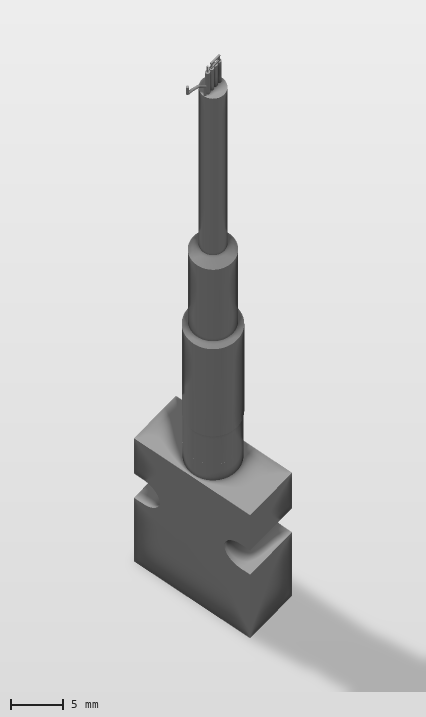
import cadquery as cq

block_width = 14.22
block_depth = 6.35
block_height = 20.32
notch_radius = 2.0
notch_depth = 3.15
notch_height = 12.5
boss_diameter = 5.8
boss_top = 23.0

neck_diameter = 5.8
neck_top = 27.7
body_diameter = 5.95
body_top = 42.1
body_cone_top = 42.6
middle_diameter = 4.8
middle_top = 54.4
tube_diameter = 2.75
tube_top = 81.2
tube_cone_top = 55.35

tip_height = 85.5
rod_diameter = 0.5
rod_pitch = 0.57
rod_top = 84.6
first_rod_y = 0.9
frame_rod_count = 3
core_diameter = 0.18

hook_wire_diameter = 0.3
overall_depth = 7.18
hook_foot_y = -1.2
hook_tip_y = block_depth / 2 - overall_depth + hook_wire_diameter / 2
hook_foot_top = 82.6
hook_knee = (-2.2, 83.75)
hook_bend = (-3.2, 84.2)
hook_tip_bottom = 84.35


def cylinder(diameter, bottom, top, y=0):
    """Upright cylinder at X = 0."""
    base = cq.Workplane("XY", origin=(0, y, bottom))
    return base.circle(diameter / 2).extrude(top - bottom)


def make_handle():
    handle = cq.Workplane("XY").box(block_width, block_depth, block_height, centered=(True, True, False))
    slot_length = 2 * notch_depth
    for side in (-1, 1):
        notch = (
            cq.Workplane("XZ", origin=(side * block_width / 2, 0, notch_height))
            .slot2D(slot_length, 2 * notch_radius)
            .extrude(block_depth, both=True)
        )
        handle = handle.cut(notch)
    return handle.union(cylinder(boss_diameter, block_height, boss_top))


def make_barrel():
    profile = (
        cq.Workplane("XZ")
        .moveTo(0, boss_top)
        .lineTo(-neck_diameter / 2, boss_top)
        .lineTo(-neck_diameter / 2, neck_top)
        .lineTo(-body_diameter / 2, neck_top)
        .lineTo(-body_diameter / 2, body_top)
        .lineTo(-middle_diameter / 2, body_cone_top)
        .lineTo(-middle_diameter / 2, middle_top)
        .lineTo(-tube_diameter / 2, tube_cone_top)
        .lineTo(-tube_diameter / 2, tube_top)
        .lineTo(0, tube_top)
        .close()
    )
    return profile.revolve(360, (0, 0, 0), (0, 1, 0))


def make_frame():
    """Row of rods carrying a small rectangular wire frame."""
    last_rod_y = first_rod_y - (frame_rod_count - 1) * rod_pitch
    frame = cylinder(core_diameter, rod_top, tip_height, first_rod_y)
    frame = frame.union(cylinder(core_diameter, rod_top, tip_height, last_rod_y))
    bar_length = first_rod_y - last_rod_y + core_diameter
    bar_y = (first_rod_y + last_rod_y) / 2
    for bar_top in (rod_top + core_diameter, tip_height):
        bar = cq.Workplane("XY").box(core_diameter, bar_length, core_diameter)
        frame = frame.union(bar.translate((0, bar_y, bar_top - core_diameter / 2)))
    for number in range(frame_rod_count):
        frame = frame.union(cylinder(rod_diameter, tube_top, rod_top, first_rod_y - number * rod_pitch))
    return frame


def make_pin():
    pin_y = first_rod_y - frame_rod_count * rod_pitch
    pin = cylinder(rod_diameter, tube_top, rod_top, pin_y)
    return pin.union(cylinder(core_diameter, rod_top, tip_height, pin_y))


def make_hook():
    path = (
        cq.Workplane("YZ")
        .moveTo(hook_foot_y, tube_top)
        .lineTo(hook_foot_y, hook_foot_top)
        .lineTo(*hook_knee)
        .lineTo(*hook_bend)
        .lineTo(hook_tip_y, hook_tip_bottom)
        .lineTo(hook_tip_y, tip_height)
    )
    section = cq.Workplane("XY", origin=(0, hook_foot_y, tube_top)).circle(hook_wire_diameter / 2)
    return section.sweep(path, transition="round")


handle = make_handle()
barrel = make_barrel()
frame = make_frame()
pin = make_pin()
hook = make_hook()

result = cq.Compound.makeCompound([handle.val(), barrel.val(), frame.val(), pin.val(), hook.val()])